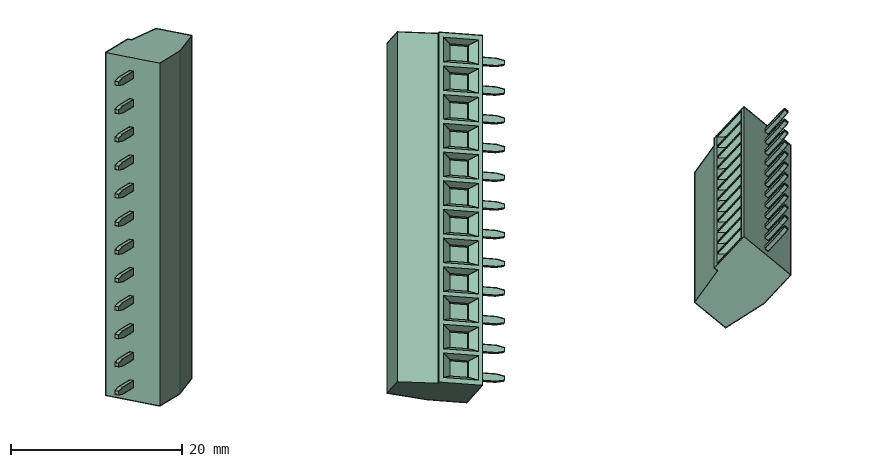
import cadquery as cq


height = 42.7
width = 7.3
depth = 10.0
entry_block_depth = 5.25
entry_step = 0.5
entry_side_inset = 1.1
plain_side_depth = 4.75
plain_side_inset = 1.35

pole_count = 12
pole_pitch = 3.5
first_pole_z = (height - (pole_count - 1) * pole_pitch) / 2
pole_heights = [first_pole_z + i * pole_pitch for i in range(pole_count)]

funnel_length = 4.25
funnel_height = 3.0
hole_length = 2.25
hole_height = 2.0
funnel_depth = 0.8
hole_depth = 0.5
entry_y = 2.6

pin_length = 3.5
pin_thickness = 0.5
pin_height = 0.9
pin_tip_height = 0.45
pin_tip_length = 1.0
pin_left_x = 3.25


def make_housing():
    outline = [
        (0, 0),
        (width, 0),
        (width, plain_side_depth),
        (width - plain_side_inset, depth),
        (entry_side_inset, depth),
        (entry_step, entry_block_depth),
        (0, entry_block_depth),
    ]
    return cq.Workplane("XY").polyline(outline).close().extrude(height)


def make_wire_entry(z):
    mouth = cq.Workplane("YZ", origin=(0, entry_y, z)).rect(funnel_length, funnel_height)
    funnel = mouth.workplane(offset=funnel_depth).rect(hole_length, hole_height).loft(ruled=True)
    hole = (
        cq.Workplane("YZ", origin=(funnel_depth, entry_y, z))
        .rect(hole_length, hole_height)
        .extrude(hole_depth)
    )
    return funnel.union(hole)


def make_pin(z):
    taper_start_y = pin_tip_length - pin_length
    outline = [
        (0, -pin_height / 2),
        (0, pin_height / 2),
        (taper_start_y, pin_height / 2),
        (-pin_length, pin_tip_height / 2),
        (-pin_length, -pin_tip_height / 2),
        (taper_start_y, -pin_height / 2),
    ]
    plane = cq.Workplane("YZ", origin=(pin_left_x, 0, z))
    return plane.polyline(outline).close().extrude(pin_thickness)


result = make_housing()
for pole_z in pole_heights:
    result = result.cut(make_wire_entry(pole_z)).union(make_pin(pole_z))